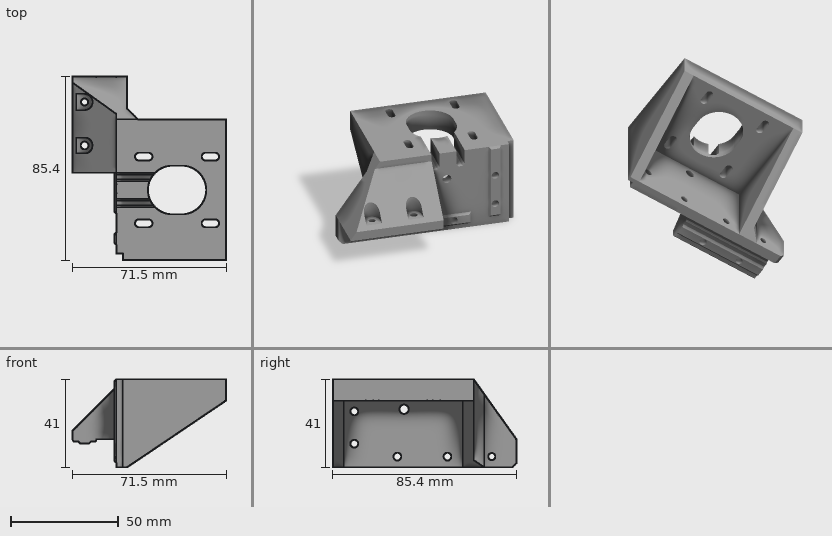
import cadquery as cq

BODY_DEPTH = 51.0
BODY_WIDTH = 65.43
HEIGHT = 41.0
PLATE_THICKNESS = 5.0
TOP_THICKNESS = 10.0
SIDE_THICKNESS = 5.0
CORNER_NOTCH = 3.0

WING_LENGTH = 20.0
WING_END = BODY_WIDTH + WING_LENGTH
WING_END_HEIGHT = 13.0
WING_CORNER_CHAMFER = 2.0
WING_GUSSET = 5.0

ARM_REACH = 20.5
ARM_START = 40.5
ARM_BOTTOM = 13.0
ARM_TIP_TOP = 17.0
ARM_ROOT_TOP = ARM_TIP_TOP + ARM_REACH
ARM_AXIS = -14.8
PAD_WIDTH = 11.0
PAD_HEIGHT = 1.0
PAD_CHAMFER = 0.5
SCREW_SEAT_HEIGHT = 18.8
ARM_SCREWS = ((73.5, 7.5, 3.2), (53.3, 7.4, 3.5))

RAIL_WIDTH = 6.0
RAIL_HEIGHT = 1.0
LOWER_RAIL_Y = (21.5, 61.5)
LOWER_RAIL_Z = 5.0
FRONT_RAIL_Y = 10.0
FRONT_RAIL_Z = (4.0, HEIGHT)

PLATE_HOLES = (
    (73.9, LOWER_RAIL_Z, 3.2),
    (53.3, LOWER_RAIL_Z, 3.5),
    (30.0, LOWER_RAIL_Z, 3.5),
    (FRONT_RAIL_Y, 26.0, 3.5),
    (FRONT_RAIL_Y, 11.0, 3.5),
    (33.1, 27.0, 4.2),
)

MOTOR_X = 28.2
MOTOR_Y = 32.6
MOTOR_TRAVEL = 4.5
MOTOR_BORE = 22.5
MOTOR_SCREW_SPACING = 31.0
MOTOR_SCREW_DIAMETER = 3.5

GROOVE_WIDTH = 4.0
GROOVE_DEPTH = 8.2
GROOVE_CHAMFER = 1.0
GROOVE_STARTS = (24.5, 36.6)


def box(x_range, y_range, z_range):
    """Box between the given coordinate limits."""
    size = [end - start for start, end in (x_range, y_range, z_range)]
    corner = (x_range[0], y_range[0], z_range[0])
    return cq.Workplane("XY").box(*size, centered=False).translate(corner)


def extrude_along_y(points, y_start, y_end):
    """Prism with an XZ outline between two Y positions."""
    outline = cq.Workplane("XZ", origin=(0, y_start, 0)).polyline(points).close()
    return outline.extrude(y_start - y_end)


def upright_cylinder(x, y, diameter, z_start, z_end):
    """Vertical cylinder between two heights."""
    base = cq.Workplane("XY", origin=(x, y, z_start))
    return base.circle(diameter / 2).extrude(z_end - z_start)


def make_bracket():
    """Mounting plate, top plate and two triangular side walls, hollow below the top."""
    side_outline = [
        (0, 0),
        (PLATE_THICKNESS, 0),
        (BODY_DEPTH, HEIGHT - TOP_THICKNESS),
        (BODY_DEPTH, HEIGHT),
        (0, HEIGHT),
    ]
    bracket = extrude_along_y(side_outline, 0, BODY_WIDTH)
    hollow = box(
        (PLATE_THICKNESS, BODY_DEPTH),
        (SIDE_THICKNESS, BODY_WIDTH - SIDE_THICKNESS),
        (0, HEIGHT - TOP_THICKNESS),
    )
    notch = box((0, CORNER_NOTCH), (0, CORNER_NOTCH), (0, HEIGHT))
    return bracket.cut(hollow).cut(notch)


def make_wing():
    """Plate extension with a 45 degree gusset against the back side wall."""
    gusset_x = PLATE_THICKNESS + WING_GUSSET
    side_wall_y = BODY_WIDTH - SIDE_THICKNESS
    plan = [
        (0, side_wall_y),
        (0, WING_END),
        (PLATE_THICKNESS, WING_END),
        (PLATE_THICKNESS, BODY_WIDTH + WING_GUSSET),
        (gusset_x, BODY_WIDTH),
        (gusset_x, side_wall_y),
    ]
    wing = cq.Workplane("XY").polyline(plan).close().extrude(HEIGHT)
    underside = [
        (PLATE_THICKNESS, 0),
        (BODY_DEPTH, HEIGHT - TOP_THICKNESS),
        (BODY_DEPTH, 0),
    ]
    wing = wing.cut(extrude_along_y(underside, 0, WING_END))
    return wing.edges("|X and >Y and <Z").chamfer(WING_CORNER_CHAMFER)


def make_arm():
    """Sloped block with a stepped locating rail along its underside."""
    outline = [
        (0, ARM_BOTTOM),
        (-ARM_REACH, ARM_BOTTOM),
        (-ARM_REACH, ARM_TIP_TOP),
        (0, ARM_ROOT_TOP),
    ]
    arm = extrude_along_y(outline, ARM_START, WING_END)
    pad_bottom = ARM_BOTTOM - PAD_HEIGHT
    pad = box(
        (ARM_AXIS - PAD_WIDTH / 2, ARM_AXIS + PAD_WIDTH / 2),
        (ARM_START, WING_END),
        (pad_bottom, ARM_BOTTOM),
    )
    pad = pad.edges("|Y and <Z").chamfer(PAD_CHAMFER)
    half_rail = RAIL_WIDTH / 2
    rail_outline = [
        (ARM_AXIS - half_rail, pad_bottom),
        (ARM_AXIS - half_rail + RAIL_HEIGHT, pad_bottom - RAIL_HEIGHT),
        (ARM_AXIS + half_rail - RAIL_HEIGHT, pad_bottom - RAIL_HEIGHT),
        (ARM_AXIS + half_rail, pad_bottom),
    ]
    rail = extrude_along_y(rail_outline, ARM_START, WING_END)
    return arm.union(pad).union(rail)


def make_slanted_end_cutter():
    """Everything behind the slanted end shared by the arm and the wing."""
    outline = [
        (BODY_WIDTH, HEIGHT),
        (WING_END, WING_END_HEIGHT),
        (WING_END, HEIGHT),
    ]
    base = cq.Workplane("YZ", origin=(-ARM_REACH, 0, 0)).polyline(outline).close()
    return base.extrude(ARM_REACH + BODY_DEPTH)


def make_plate_rail(y_range, z_range):
    """Rail on the mounting face whose four sides slope in at 45 degrees."""
    width = y_range[1] - y_range[0]
    length = z_range[1] - z_range[0]
    centre = (0, sum(y_range) / 2, sum(z_range) / 2)
    base = cq.Workplane("YZ", origin=centre).rect(width, length)
    return base.extrude(-RAIL_HEIGHT, taper=45)


def cut_arm_screws(part):
    """Head pockets open toward the sloped face, with through holes below."""
    for y, head_diameter, hole_diameter in ARM_SCREWS:
        radius = head_diameter / 2
        round_end = upright_cylinder(ARM_AXIS, y, head_diameter, SCREW_SEAT_HEIGHT, HEIGHT)
        open_end = box((-ARM_REACH, ARM_AXIS), (y - radius, y + radius), (SCREW_SEAT_HEIGHT, HEIGHT))
        hole = upright_cylinder(ARM_AXIS, y, hole_diameter, 0, HEIGHT)
        part = part.cut(round_end).cut(open_end).cut(hole)
    return part


def cut_plate_holes(part):
    """Holes along X through the mounting plate and its rails."""
    for y, z, diameter in PLATE_HOLES:
        base = cq.Workplane("YZ", origin=(-RAIL_HEIGHT, y, z))
        part = part.cut(base.circle(diameter / 2).extrude(RAIL_HEIGHT + PLATE_THICKNESS))
    return part


def cut_motor_mount(part):
    """Motor opening and screw slots through the top plate."""
    base = cq.Workplane("XY", origin=(MOTOR_X, MOTOR_Y, HEIGHT))
    opening = base.slot2D(MOTOR_BORE + MOTOR_TRAVEL, MOTOR_BORE).extrude(-TOP_THICKNESS)
    slots = (
        base.rarray(MOTOR_SCREW_SPACING, MOTOR_SCREW_SPACING, 2, 2)
        .slot2D(MOTOR_SCREW_DIAMETER + MOTOR_TRAVEL, MOTOR_SCREW_DIAMETER)
        .extrude(-TOP_THICKNESS)
    )
    return part.cut(opening).cut(slots)


def cut_grooves(part):
    """Two grooves with chamfered floors."""
    for y in GROOVE_STARTS:
        groove = box((0, MOTOR_X), (y, y + GROOVE_WIDTH), (HEIGHT - GROOVE_DEPTH, HEIGHT))
        part = part.cut(groove.edges("|X and <Z").chamfer(GROOVE_CHAMFER))
    return part


half_width = RAIL_WIDTH / 2
lower_rail = make_plate_rail(LOWER_RAIL_Y, (LOWER_RAIL_Z - half_width, LOWER_RAIL_Z + half_width))
front_rail = make_plate_rail((FRONT_RAIL_Y - half_width, FRONT_RAIL_Y + half_width), FRONT_RAIL_Z)

result = make_bracket().union(make_wing()).union(make_arm())
result = result.cut(make_slanted_end_cutter())
result = result.union(lower_rail).union(front_rail)
result = cut_arm_screws(result)
result = cut_plate_holes(result)
result = cut_motor_mount(result)
result = cut_grooves(result)